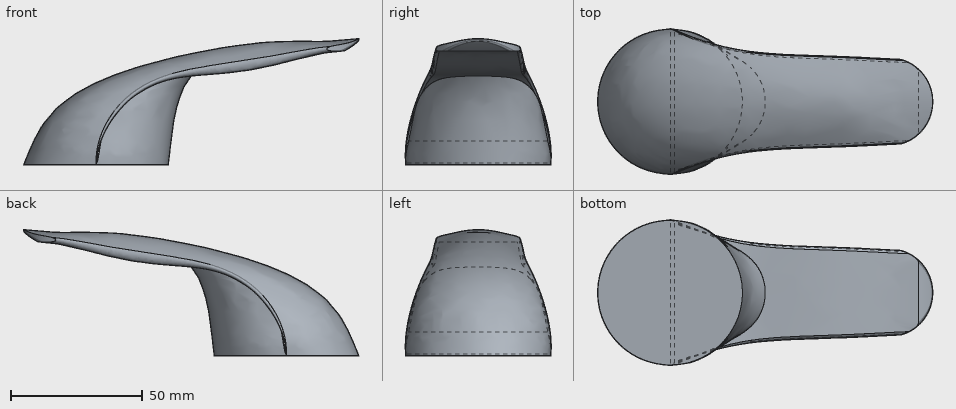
import cadquery as cq
import math

length = 127.6
height = 48.1
untrimmed_end_z = 48.4
base_radius = 27.5

tip_start_x = 109.7
tip_half_width = 16.7
tip_underside_start = (109.7, 40.6)
tip_underside_middle = (120.6, 42.6)
tip_end_z = 47.2
tip_edge_radius = 0.9
overrun = 2.5

rim_bulge = 0.3
rim_inset = 0.5

shell_stations = [
    ((0.0, 0.0), (base_radius, 0.0), base_radius, 0.3),
    ((10.1, 18.9), (31.9, 16.6), 25.8, 1.3),
    ((28.1, 31.5), (43.6, 29.0), 21.4, 2.3),
    ((61.9, 42.0), (64.4, 36.6), 18.0, 2.9),
    ((105.1, 47.1), (105.1, 43.4), 16.2, 2.9),
    ((length + overrun, untrimmed_end_z), (length + overrun, 44.0), 15.7, 2.9),
]

column_stations = [
    (0.0, base_radius, base_radius, 2 * base_radius),
    (8.9, 29.3, 26.5, 56.1),
    (16.6, 31.9, 25.0, 57.2),
    (22.3, 36.0, 23.9, 58.5),
    (29.0, 43.6, 20.9, 60.9),
    (34.5, 56.1, 17.9, 64.4),
]


def shell_section(crown, rail, half_width, rim):
    """Crowned arc between the side rails, closed by the rim and a flat underside."""
    drop_x = rail[0] - crown[0]
    drop_z = rail[1] - crown[1]
    drop = math.hypot(drop_x, drop_z)

    def at(y, below_rail):
        x = rail[0] + below_rail * drop_x / drop
        z = rail[1] + below_rail * drop_z / drop
        return cq.Vector(x, y, z)

    bulge_y = half_width + rim_bulge * rim / 2
    under_y = half_width - rim_inset * rim / 2
    top = cq.Edge.makeThreePointArc(at(half_width, 0), at(0, -drop), at(-half_width, 0))
    right_rim = cq.Edge.makeThreePointArc(at(-half_width, 0), at(-bulge_y, rim / 2), at(-under_y, rim))
    underside = cq.Edge.makeLine(at(-under_y, rim), at(under_y, rim))
    left_rim = cq.Edge.makeThreePointArc(at(under_y, rim), at(bulge_y, rim / 2), at(half_width, 0))
    return cq.Wire.assembleEdges([top, right_rim, underside, left_rim])


def column_section(z, front_x, half_width, back_x):
    """Level D shape, rounded towards the back."""
    left = cq.Vector(front_x, half_width, z)
    right = cq.Vector(front_x, -half_width, z)
    back = cq.Edge.makeThreePointArc(right, cq.Vector(back_x, 0, z), left)
    front = cq.Edge.makeLine(left, right)
    return cq.Wire.assembleEdges([back, front])


def loft(sections):
    return cq.Workplane(obj=cq.Solid.makeLoft(sections))


def tip_plan_cut():
    """Upright prism around the tip that rounds the grip as seen from above."""
    end_x = length + 2 * overrun
    return (
        cq.Workplane("XY")
        .moveTo(tip_start_x, -base_radius)
        .lineTo(tip_start_x, -tip_half_width)
        .threePointArc((length, 0), (tip_start_x, tip_half_width))
        .lineTo(tip_start_x, base_radius)
        .lineTo(end_x, base_radius)
        .lineTo(end_x, -base_radius)
        .close()
        .extrude(2 * height)
    )


def tip_underside_cut():
    """Prism below the upswept underside of the tip."""
    return (
        cq.Workplane("XZ")
        .moveTo(*tip_underside_start)
        .threePointArc(tip_underside_middle, (length, tip_end_z))
        .lineTo(length + overrun, tip_end_z)
        .lineTo(length + overrun, 0)
        .lineTo(tip_underside_start[0], 0)
        .close()
        .extrude(base_radius, both=True)
    )


shell = loft([shell_section(*station) for station in shell_stations])
shell = shell.cut(tip_plan_cut()).cut(tip_underside_cut())
column = loft([column_section(*station) for station in column_stations])

result = shell.union(column).faces(">X").edges(">Z").fillet(tip_edge_radius)